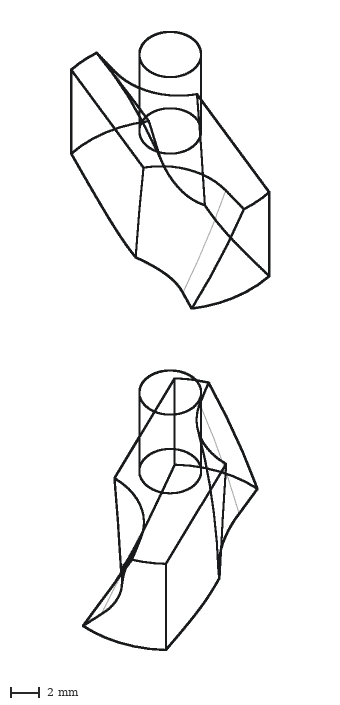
import cadquery as cq
import math

total_height = 19.1
drill_diameter = 17.97
blade_thickness = 6.57
shank_diameter = 4.3
rim_height = 2.71
shoulder_height = 11.29

face_start = (6.78, 0.7)
face_slope = 7.0
flute_radius = 5.46
twist_per_unit = 2.932

drill_radius = drill_diameter / 2
outside = 1.5 * drill_radius


def make_blade():
    """Pointed round blank, flattened on both sides."""
    blank = (
        cq.Workplane("XZ")
        .polyline([
            (0, 0),
            (drill_radius, rim_height),
            (drill_radius, shoulder_height),
            (0, shoulder_height),
        ])
        .close()
        .revolve(360, (0, 0, 0), (0, 1, 0))
    )
    slab = cq.Workplane("XY").box(
        drill_diameter, blade_thickness, shoulder_height, centered=(True, True, False)
    )
    return blank.intersect(slab)


def make_flute():
    """Twisted cutter for one flute, open towards the outside of the drill."""
    slope = math.radians(face_slope)
    start_x, start_y = face_start
    center_x = start_x + flute_radius * math.sin(slope)
    center_y = start_y - flute_radius * math.cos(slope)
    arc_end = (center_x - flute_radius, center_y)
    mid_angle = math.radians((90 + face_slope + 180) / 2)
    arc_middle = (
        center_x + flute_radius * math.cos(mid_angle),
        center_y + flute_radius * math.sin(mid_angle),
    )
    face_end = (outside, start_y + (outside - start_x) * math.tan(slope))

    twist = twist_per_unit * shoulder_height
    return (
        cq.Workplane("XY")
        .transformed(rotate=(0, 0, -twist))
        .moveTo(*face_end)
        .lineTo(*face_start)
        .threePointArc(arc_middle, arc_end)
        .lineTo(arc_end[0], -outside)
        .lineTo(outside, -outside)
        .close()
        .twistExtrude(shoulder_height, twist)
    )


def make_shank():
    """Round shank standing on the shoulder."""
    return (
        cq.Workplane("XY", origin=(0, 0, shoulder_height))
        .circle(shank_diameter / 2)
        .extrude(total_height - shoulder_height)
    )


flute = make_flute()
blade = make_blade()
for turn in (0, 180):
    blade = blade.cut(flute.rotate((0, 0, 0), (0, 0, 1), turn))

result = blade.union(make_shank())